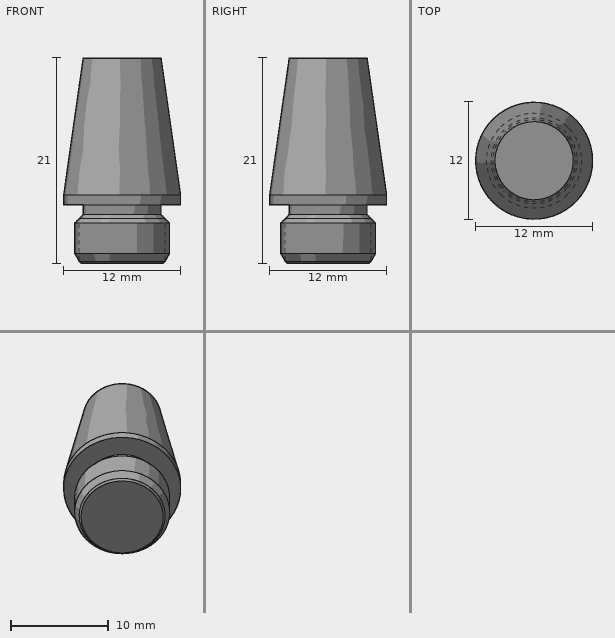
import cadquery as cq
import math

total_height = 21.0
flange_diameter = 12.0
neck_diameter = 8.0
thread_outer_diameter = 9.72
thread_core_diameter = 8.8

flange_top = 7.0
flange_thickness = 1.0
neck_length = 1.0

core_chamfer = 0.2
sleeve_chamfer_angle = 60.0

flange_radius = flange_diameter / 2
neck_radius = neck_diameter / 2
thread_radius = thread_outer_diameter / 2
core_radius = thread_core_diameter / 2
bottom_radius = core_radius - core_chamfer
cone_tip_radius = neck_radius

flange_bottom = flange_top - flange_thickness
neck_bottom = flange_bottom - neck_length

core_shoulder = neck_bottom - (core_radius - neck_radius)
thread_top = neck_bottom - (thread_radius - neck_radius)

thread_bottom = core_chamfer
sleeve_chamfer_top = thread_bottom + (
    (thread_radius - core_radius) * math.tan(math.radians(sleeve_chamfer_angle))
)


def revolve_profile(points):
    """Turn a closed radius-height outline about the Z axis."""
    return cq.Workplane("XZ").polyline(points).close().revolve(360, (0, 0), (0, 1))


def make_cone():
    """Tapered head standing on the flange."""
    return revolve_profile([
        (0, flange_top),
        (flange_radius, flange_top),
        (cone_tip_radius, total_height),
        (0, total_height),
    ])


def make_stud():
    """Flange, neck and thread core in one piece."""
    return revolve_profile([
        (0, 0),
        (bottom_radius, 0),
        (core_radius, thread_bottom),
        (core_radius, core_shoulder),
        (neck_radius, neck_bottom),
        (neck_radius, flange_bottom),
        (flange_radius, flange_bottom),
        (flange_radius, flange_top),
        (0, flange_top),
    ])


def make_thread_sleeve():
    """Plain ring around the core that fills the thread's outer envelope."""
    return revolve_profile([
        (core_radius, thread_bottom),
        (thread_radius, sleeve_chamfer_top),
        (thread_radius, thread_top),
        (core_radius, core_shoulder),
    ])


cone = make_cone()
stud = make_stud()
thread_sleeve = make_thread_sleeve()

result = cq.Compound.makeCompound([cone.val(), stud.val(), thread_sleeve.val()])